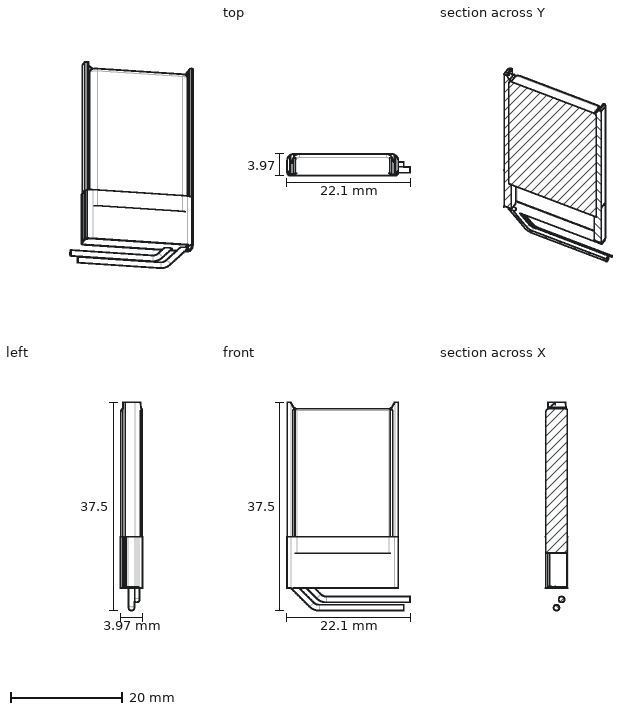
import cadquery as cq
import math


total_height = 37.45
thickness = 3.97
half_width = 10.0
half_thickness = thickness / 2

cap_bottom = 4.05
cap_top = 13.3
cap_wall = 0.05
cap_front_radius = 0.7
cap_back_radius = 1.3

cell_bottom = 10.35
cell_top = 36.3
cell_half_width = 9.0
cell_face = half_thickness - cap_wall
cell_step_half_width = 8.58
cell_step_depth = 0.4
cell_back_radius = 1.2
cell_top_radius = 0.55
cell_front_radius = 0.3

flap_bottom = 4.3
flap_outer = half_width - cap_wall
flap_thickness = 0.67
flap_lip_x = flap_outer - flap_thickness
flap_back = 1.55
flap_back_chamfer = 0.37
flap_bend_start = -0.6
flap_bend_width = 0.6
flap_bend_end = -1.6
flap_front = -1.8
flap_web_outer_back = 0.25
flap_web_inner_x = 8.8
flap_web_inner_back = 1.25
flap_lip_bevel_width = 0.22
flap_lip_bevel_drop = 0.07
flap_scoop_width = 0.45
flap_scoop_corner = 36.5
flap_scoop_end = 36.25
flap_root_x = 8.43

plate_left = -8.75
plate_thickness = 0.1

wire_diameter = 1.1
wire_bend_radius = 2.0
wire_bend_angle = 45.0
wire_radius = wire_diameter / 2
lower_wire = {"y": 0.0, "z": wire_radius, "bend_x": -4.2, "end_x": 10.97}
upper_wire = {"y": -0.9, "z": 2.02, "bend_x": -2.92, "end_x": 12.1}


def sleeve_block(inset):
    """Block with the cap's rounded outline, moved inward by an inset."""
    return (
        cq.Workplane("XY")
        .workplane(offset=cap_bottom)
        .rect(2 * (half_width - inset), thickness - 2 * inset)
        .extrude(cap_top - cap_bottom)
        .edges("|Z and <Y").fillet(cap_front_radius - inset)
        .edges("|Z and >Y").fillet(cap_back_radius - inset)
    )


def make_cell():
    """Cell with rounded back corners, a raised front face and a rounded top rim."""
    height = cell_top - cell_bottom
    step_y = cell_step_depth - cell_face
    main = (
        cq.Workplane("XY", origin=(0, 0, cell_bottom))
        .moveTo(0, (step_y + cell_face) / 2)
        .rect(2 * cell_half_width, cell_face - step_y)
        .extrude(height)
        .edges("|Z and >Y").fillet(cell_back_radius)
        .faces(">Z").edges("not <Y").fillet(cell_top_radius)
    )
    raised_face = (
        cq.Workplane("XY", origin=(0, 0, cell_bottom))
        .moveTo(0, step_y - cell_step_depth / 2)
        .rect(2 * cell_step_half_width, cell_step_depth)
        .extrude(height)
        .edges("|Z and <Y").fillet(cell_front_radius)
        .faces(">Z").edges("<Y").fillet(cell_front_radius)
    )
    return main.union(raised_face)


def flap_section():
    """Right flap at full height: outer strip, front bend and the web that reaches the cell."""
    bend_end_x = flap_outer - flap_bend_width
    diagonal = math.sqrt(0.5)
    bend_mid = (
        bend_end_x + flap_bend_width * diagonal,
        flap_bend_start + (flap_bend_end - flap_bend_start) * diagonal,
    )
    return (
        cq.Workplane("XY", origin=(0, 0, flap_bottom))
        .moveTo(flap_outer - flap_back_chamfer, flap_back)
        .lineTo(flap_outer, flap_back - flap_back_chamfer)
        .lineTo(flap_outer, flap_bend_start)
        .threePointArc(bend_mid, (bend_end_x, flap_bend_end))
        .lineTo(flap_root_x, flap_front)
        .lineTo(flap_root_x, flap_web_inner_back)
        .lineTo(flap_web_inner_x, flap_web_inner_back)
        .lineTo(flap_lip_x, flap_web_outer_back)
        .lineTo(flap_lip_x, flap_back)
        .close()
        .extrude(total_height - flap_bottom)
    )


def flap_scoop():
    """Tool that bevels the lip, then lowers the web in a steep and a shallow slope to the cell."""
    return (
        cq.Workplane("XZ", origin=(0, half_thickness, 0))
        .moveTo(flap_lip_x + flap_lip_bevel_width, total_height)
        .lineTo(flap_lip_x, total_height - flap_lip_bevel_drop)
        .lineTo(flap_lip_x - flap_scoop_width, flap_scoop_corner)
        .lineTo(flap_root_x, flap_scoop_end)
        .lineTo(flap_root_x, total_height)
        .close()
        .extrude(thickness)
    )


def make_flaps(cell):
    """Right flap, fitted to the cell side, and its mirror image."""
    right = flap_section().cut(flap_scoop()).cut(cell)
    return [right, right.mirror("YZ")]


def make_wire(wire):
    """Round wire: straight run along X, a bend, and a slanted run up to the underside of the end plate."""
    angle = math.radians(wire_bend_angle)
    bend_x, bend_z = wire["bend_x"], wire["z"]

    def bend_point(turn):
        return (
            bend_x - wire_bend_radius * math.sin(turn),
            bend_z + wire_bend_radius * (1 - math.cos(turn)),
        )

    slant_start = bend_point(angle)
    slant_top = cap_bottom + wire_diameter
    slant_end = (slant_start[0] - (slant_top - slant_start[1]) / math.tan(angle), slant_top)
    path = (
        cq.Workplane("XZ", origin=(0, wire["y"], 0))
        .moveTo(wire["end_x"], bend_z)
        .lineTo(bend_x, bend_z)
        .threePointArc(bend_point(angle / 2), slant_start)
        .lineTo(*slant_end)
    )
    round_wire = (
        cq.Workplane("YZ", origin=(wire["end_x"], wire["y"], bend_z)).circle(wire_radius).sweep(path)
    )
    above_cap_bottom = (
        cq.Workplane("XY", origin=(0, 0, cap_bottom))
        .rect(4 * half_width, thickness)
        .extrude(2 * wire_diameter)
    )
    return round_wire.cut(above_cap_bottom)


def make_cap(flaps):
    """Thin sleeve, slit where the back edges of the flaps break through its rounded corners."""
    cap = sleeve_block(0).cut(sleeve_block(cap_wall))
    for flap in flaps:
        cap = cap.cut(flap)
    return cap


def make_end_plate():
    """Plate that closes the cap below the flaps, except at its left end."""
    plate_width = half_width - plate_left
    envelope = (
        cq.Workplane("XY", origin=(plate_left + plate_width / 2, 0, cap_bottom))
        .rect(plate_width, thickness)
        .extrude(plate_thickness)
    )
    return sleeve_block(cap_wall).intersect(envelope)


cell = make_cell()
flaps = make_flaps(cell)
cap = make_cap(flaps)
end_plate = make_end_plate()
wires = [make_wire(wire) for wire in (lower_wire, upper_wire)]

bodies = [cell, *flaps, cap, end_plate, *wires]
result = cq.Compound.makeCompound([body.solids().val() for body in bodies])